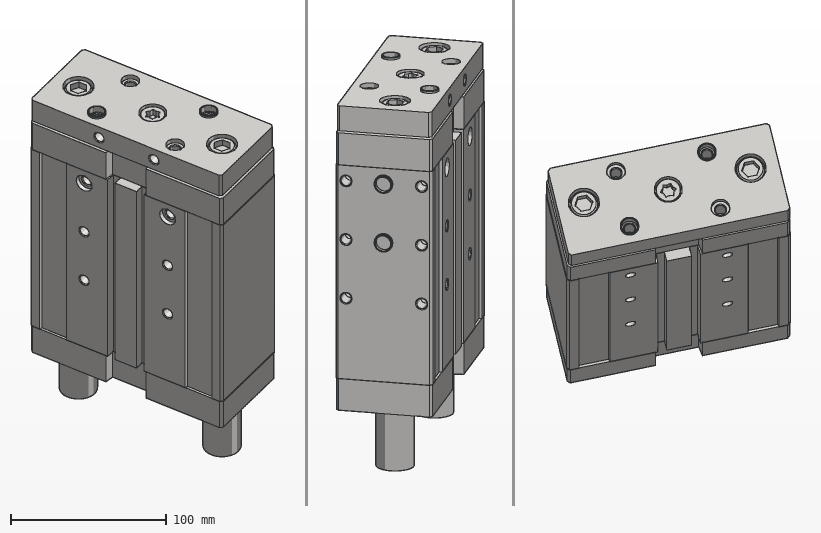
import cadquery as cq
import math


rod_projection = 40.6
cap_height = 21.7
barrel_length = 145.3
plate_gap = 1.5
plate_height = 17.0
lower_cap_z = rod_projection
barrel_z = lower_cap_z + cap_height
upper_cap_z = barrel_z + barrel_length
upper_cap_top_z = upper_cap_z + cap_height
plate_z = upper_cap_top_z + plate_gap
plate_top_z = plate_z + plate_height

barrel_width = 148.0
barrel_depth = 64.0
cap_width = 147
cap_depth = 63.5
plate_width = 146.3
plate_depth = 62.5
plate_offset_x = -0.5
corner_chamfer = 1.7

cap_channel_width = 31.0
cap_channel_taper = 1.0
barrel_channel_width = 28.2
barrel_channel_taper = 0.5
channel_depth = 6.5
rib_width = 16.5
side_recess_inner_x = 45.5
side_recess_outer_x = 66.0
side_recess_depth = 2.0
side_recess_taper = 0.5

guide_pitch = 110.2
guide_y = -3.0
guide_diameter = 25
piston_rod_diameter = 16.0

guide_pocket_diameter = 20
guide_head_diameter = 18.0
guide_head_chamfer = 1.0
hexagon_across_flats = 10.2
piston_pocket_diameter = 18.0
piston_head_diameter = 16.0
piston_head_chamfer = 0.2
star_outer_diameter = 10.2
star_inner_diameter = 7.5
star_point_count = 6
head_sink = 1.2
socket_depth = 4.5

thread_core = 6.7
thread_mouth = 8.0
blind_hole_depth = 12.0
drill_point_angle = 118
hole_pitch_z = 40
first_hole_z = 197.2
face_hole_pitch_x = 64.0
side_hole_pitch_y = 50.0
side_hole_rows = 3
plate_front_hole_pitch = 42.1
plate_front_hole_z = 239.0
plate_hole_pitch_x = 60.0
plate_hole_pitch_y = 40

sleeve_diameter = 12.0
sleeve_bore = 10.2
sleeve_seat_depth = 3.2
sleeve_top_z = 249.3
plug_diameter = 12.0
plug_bore = 10.2
plug_projection = 2.2
plug_seat_depth = 5
plug_socket_depth = 3.0
plug_count = 2
sleeve_chamfer = 0.2
plug_chamfer = 0.5

guide_points = [(side * guide_pitch / 2, guide_y) for side in (-1, 1)]
face_points = [side * face_hole_pitch_x / 2 for side in (-1, 1)]
plate_holes = [
    (i * plate_hole_pitch_x / 2, j * plate_hole_pitch_y / 2) for i in (-1, 1) for j in (-1, 1)
]
sleeve_points = [(x, y) for x, y in plate_holes if x * y > 0]
hole_rows = [first_hole_z - row * hole_pitch_z for row in range(side_hole_rows)]
plug_rows = hole_rows[:plug_count]


def block(width, depth, height, z, x=0):
    """A block standing at z, centred in Y, with chamfered upright edges."""
    shape = cq.Workplane("XY").box(width, depth, height, centered=(True, True, False))
    return shape.edges("|Z").chamfer(corner_chamfer).translate((x, 0, z))


def cylinder(diameter, start, direction, length):
    return cq.Workplane(
        cq.Solid.makeCylinder(diameter / 2, length, cq.Vector(*start), cq.Vector(*direction))
    )


def thread_mouth_cone(start, direction):
    """The 45 degree countersink at the mouth of a tapped hole."""
    depth = (thread_mouth - thread_core) / 2
    return cq.Workplane(
        cq.Solid.makeCone(
            thread_mouth / 2, thread_core / 2, depth, cq.Vector(*start), cq.Vector(*direction)
        )
    )


def through_hole(start, direction, length):
    """A tapped hole of the given length, countersunk at its start."""
    return cylinder(thread_core, start, direction, length).union(thread_mouth_cone(start, direction))


def blind_hole(start, direction):
    """A countersunk tapped hole that ends in a drill point."""
    hole = through_hole(start, direction, blind_hole_depth)
    point_depth = thread_core / 2 / math.tan(math.radians(drill_point_angle / 2))
    point_start = cq.Vector(*start) + cq.Vector(*direction) * blind_hole_depth
    point = cq.Solid.makeCone(thread_core / 2, 0, point_depth, point_start, cq.Vector(*direction))
    return hole.union(cq.Workplane(point))


def face_slots(x_middle, width, depth, taper, body_depth, z, height):
    """A pair of upright slots, front and back, whose walls each lean in by taper at the floor."""
    half_mouth = width / 2
    half_floor = half_mouth - taper
    mouth_y = -body_depth / 2
    front = (
        cq.Workplane("XY")
        .polyline(
            [
                (-half_mouth, mouth_y),
                (half_mouth, mouth_y),
                (half_floor, mouth_y + depth),
                (-half_floor, mouth_y + depth),
            ]
        )
        .close()
        .extrude(height)
        .translate((x_middle, 0, z))
    )
    return front.union(front.mirror("XZ"))


def make_cap(z):
    """An end cap with its two channels and the passages of the guide rods."""
    cap = block(cap_width, cap_depth, cap_height, z)
    cap = cap.cut(
        face_slots(0, cap_channel_width, channel_depth, cap_channel_taper, cap_depth, z, cap_height)
    )
    for x, y in guide_points:
        cap = cap.cut(cylinder(guide_diameter, (x, y, z), (0, 0, 1), cap_height))
    return cap


def make_upper_cap():
    """The upper cap also lets the piston rod through."""
    passage = cylinder(piston_rod_diameter, (0, 0, upper_cap_z), (0, 0, 1), cap_height)
    return make_cap(upper_cap_z).cut(passage)


def barrel_profile():
    """The barrel with its ribbed channels and shallow side recesses, before drilling."""
    profile = block(barrel_width, barrel_depth, barrel_length, barrel_z)
    recess_x = (side_recess_inner_x + side_recess_outer_x) / 2
    recess_width = side_recess_outer_x - side_recess_inner_x
    slots = [
        (0, barrel_channel_width, channel_depth, barrel_channel_taper),
        (-recess_x, recess_width, side_recess_depth, side_recess_taper),
        (recess_x, recess_width, side_recess_depth, side_recess_taper),
    ]
    for x, width, depth, taper in slots:
        profile = profile.cut(face_slots(x, width, depth, taper, barrel_depth, barrel_z, barrel_length))
    ribs = face_slots(0, rib_width, channel_depth, 0, barrel_depth, barrel_z, barrel_length)
    return profile.union(ribs)


def make_barrel():
    barrel = barrel_profile()
    for x, y in guide_points:
        barrel = barrel.cut(cylinder(guide_diameter, (x, y, barrel_z), (0, 0, 1), barrel_length))

    front_y = -barrel_depth / 2
    for x in face_points:
        for z in hole_rows:
            seat_depth = sleeve_seat_depth if z == first_hole_z else 0
            start = (x, front_y + seat_depth, z)
            barrel = barrel.cut(through_hole(start, (0, 1, 0), barrel_depth))
            if seat_depth:
                barrel = barrel.cut(cylinder(sleeve_diameter, (x, front_y, z), (0, 1, 0), seat_depth))

    side_x = -barrel_width / 2
    for z in hole_rows:
        for side in (-1, 1):
            barrel = barrel.cut(blind_hole((side_x, side * side_hole_pitch_y / 2, z), (1, 0, 0)))
    for z in plug_rows:
        barrel = barrel.cut(cylinder(plug_diameter, (side_x, 0, z), (1, 0, 0), plug_seat_depth))
    return barrel


def star_socket():
    """A star-shaped wrench recess with one point along +X."""
    points = []
    for i in range(2 * star_point_count):
        radius = (star_inner_diameter if i % 2 else star_outer_diameter) / 2
        angle = math.pi * i / star_point_count
        points.append((radius * math.cos(angle), radius * math.sin(angle)))
    return cq.Workplane("XY").polyline(points).close().extrude(-socket_depth)


def screw_recess(x, y, pocket_diameter, head_diameter, head_chamfer, socket):
    """A sunk screw head: a ring groove around it, a lowered top and a wrench socket."""
    pocket_depth = head_sink + socket_depth
    pocket = cylinder(pocket_diameter, (x, y, plate_top_z), (0, 0, -1), pocket_depth)
    head_bottom_z = plate_top_z - pocket_depth
    head = cylinder(head_diameter, (x, y, head_bottom_z), (0, 0, 1), socket_depth)
    head = head.faces(">Z").chamfer(head_chamfer)
    return pocket.cut(head).union(socket.translate((x, y, plate_top_z - head_sink)))


def make_moving_unit():
    """The yoke plate with its guide rods, piston rod and their sunk screw heads."""
    unit = block(plate_width, plate_depth, plate_height, plate_z, plate_offset_x)

    for x, y in guide_points:
        unit = unit.union(cylinder(guide_diameter, (x, y, 0), (0, 0, 1), plate_z))
    piston_rod_length = plate_z - upper_cap_z
    unit = unit.union(cylinder(piston_rod_diameter, (0, 0, upper_cap_z), (0, 0, 1), piston_rod_length))

    hexagon_diameter = hexagon_across_flats / math.cos(math.pi / 6)
    hexagon = cq.Workplane("XY").polygon(6, hexagon_diameter).extrude(-socket_depth)
    for x, y in guide_points:
        unit = unit.cut(
            screw_recess(
                x, y, guide_pocket_diameter, guide_head_diameter, guide_head_chamfer, hexagon
            )
        )
    unit = unit.cut(
        screw_recess(
            0, 0, piston_pocket_diameter, piston_head_diameter, piston_head_chamfer, star_socket()
        )
    )

    for x, y in plate_holes:
        seat = cylinder(sleeve_diameter, (x, y, plate_top_z), (0, 0, -1), sleeve_seat_depth)
        seat_z = plate_top_z - sleeve_seat_depth
        unit = unit.cut(seat).cut(through_hole((x, y, seat_z), (0, 0, -1), plate_height))

    for side in (-1, 1):
        start = (side * plate_front_hole_pitch / 2, -plate_depth / 2, plate_front_hole_z)
        unit = unit.cut(blind_hole(start, (0, 1, 0)))
    return unit


def make_sleeve(x, y):
    """A centring sleeve seated in the plate."""
    seat_z = plate_top_z - sleeve_seat_depth
    length = sleeve_top_z - seat_z
    ring = cylinder(sleeve_diameter, (x, y, seat_z), (0, 0, 1), length)
    ring = ring.faces(">Z").chamfer(sleeve_chamfer)
    return ring.cut(cylinder(sleeve_bore, (x, y, seat_z), (0, 0, 1), length))


def make_plug(z):
    """A cup-shaped plug closing a port in the -X side."""
    outer_x = -barrel_width / 2 - plug_projection
    length = plug_projection + plug_seat_depth
    plug = cylinder(plug_diameter, (outer_x, 0, z), (1, 0, 0), length)
    plug = plug.faces("<X").chamfer(plug_chamfer)
    return plug.cut(cylinder(plug_bore, (outer_x, 0, z), (1, 0, 0), plug_socket_depth))


barrel = make_barrel()
upper_cap = make_upper_cap()
lower_cap = make_cap(lower_cap_z)
moving_unit = make_moving_unit()
sleeves = [make_sleeve(x, y) for x, y in sleeve_points]
plugs = [make_plug(z) for z in plug_rows]

result = cq.Compound.makeCompound(
    [body.val() for body in [barrel, upper_cap, lower_cap, moving_unit, *sleeves, *plugs]]
)